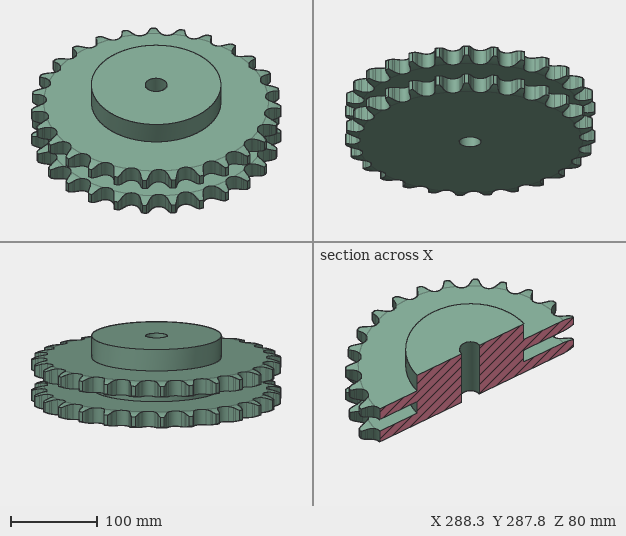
import cadquery as cq
import math

overall_width = 288.3
total_height = 80.0
tooth_count = 27
chain_pitch = 31.7
roller_diameter = 19.0
plate_thickness = 18.2
plate_spacing = 36.3
plate_count = 2
hub_diameter = 150.0
bore_diameter = 25.0
flat_face_diameter = 259.5
side_relief_radius = 33.7

half_tooth_angle = math.pi / tooth_count
pitch_radius = chain_pitch / 2 / math.sin(half_tooth_angle)
seat_radius = 0.5025 * roller_diameter
seat_end_angle = -math.radians(35 + 60 / tooth_count)
flank_angle = seat_end_angle + math.radians(18 - 56 / tooth_count)
working_center_offset = 0.8 * roller_diameter
working_radius = seat_radius + working_center_offset
topping_center_offset = 1.4 * roller_diameter
cutter_overrun = 5.8


def offset_point(center, radius, angle):
    """Point at a given radius and angle from a centre."""
    return (center[0] + radius * math.cos(angle), center[1] + radius * math.sin(angle))


def mirrored(point):
    """Reflect a point across the centre line of the gap."""
    return (-point[0], point[1])


seat_center = (0, pitch_radius)
seat_bottom = (0, pitch_radius - seat_radius)
seat_end = offset_point(seat_center, seat_radius, seat_end_angle)

working_center = offset_point(seat_center, -working_center_offset, seat_end_angle)
working_mid = offset_point(working_center, working_radius, (seat_end_angle + flank_angle) / 2)
working_end = offset_point(working_center, working_radius, flank_angle)

topping_center = offset_point(seat_center, topping_center_offset, -half_tooth_angle)
topping_radius = (
    (topping_center[0] - working_end[0]) * math.cos(flank_angle)
    + (topping_center[1] - working_end[1]) * math.sin(flank_angle)
)
topping_start = offset_point(topping_center, -topping_radius, flank_angle)

width_direction = (math.pi - half_tooth_angle) / 2
center_reach = (
    topping_center[0] * math.cos(width_direction) + topping_center[1] * math.sin(width_direction)
)
corner_angle = width_direction + math.acos((overall_width / 2 - center_reach) / topping_radius)
topping_end = offset_point(topping_center, topping_radius, corner_angle)
topping_mid = offset_point(
    topping_center, topping_radius, (math.pi + flank_angle + corner_angle) / 2
)
tip_radius = math.hypot(*topping_end)
gap_mouth = (topping_end[0], tip_radius + cutter_overrun)


def gap_cutter():
    """Prism that removes the tooth gap centred on +Y."""
    return (
        cq.Workplane("XY")
        .moveTo(*mirrored(gap_mouth))
        .lineTo(*mirrored(topping_end))
        .threePointArc(mirrored(topping_mid), mirrored(topping_start))
        .lineTo(*mirrored(working_end))
        .threePointArc(mirrored(working_mid), mirrored(seat_end))
        .threePointArc(seat_bottom, seat_end)
        .threePointArc(working_mid, working_end)
        .lineTo(*topping_start)
        .threePointArc(topping_mid, topping_end)
        .lineTo(*gap_mouth)
        .close()
        .extrude(plate_thickness)
    )


def plate_blank():
    """Disc whose rim is rounded off on both faces, tangent to the flat faces."""
    flat_radius = flat_face_diameter / 2

    def relief_drop(radius):
        return side_relief_radius - math.sqrt(side_relief_radius**2 - (radius - flat_radius) ** 2)

    mid_radius = (flat_radius + tip_radius) / 2
    mid_drop = relief_drop(mid_radius)
    tip_drop = relief_drop(tip_radius)
    return (
        cq.Workplane("XZ")
        .lineTo(flat_radius, 0)
        .threePointArc((mid_radius, mid_drop), (tip_radius, tip_drop))
        .lineTo(tip_radius, plate_thickness - tip_drop)
        .threePointArc((mid_radius, plate_thickness - mid_drop), (flat_radius, plate_thickness))
        .lineTo(0, plate_thickness)
        .close()
        .revolve(360, (0, 0, 0), (0, 1, 0))
    )


def toothed_plate():
    """One sprocket plate resting on the XY plane."""
    plate = plate_blank()
    cutter = gap_cutter()
    for index in range(tooth_count):
        plate = plate.cut(cutter.rotate((0, 0, 0), (0, 0, 1), index * 360 / tooth_count))
    return plate


sprocket = cq.Workplane("XY").circle(hub_diameter / 2).extrude(total_height)
plate = toothed_plate()
for level in range(plate_count):
    sprocket = sprocket.union(plate.translate((0, 0, level * plate_spacing)))

bore = cq.Workplane("XY").circle(bore_diameter / 2).extrude(total_height)
result = sprocket.cut(bore)